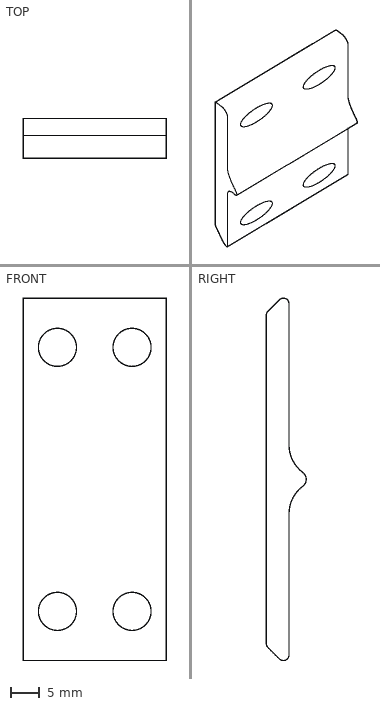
import cadquery as cq
import math

width = 25.0
thickness = 4.0
half_length_sharp = 33.0
edge_radius = 1.0

ridge_height = 3.0
crest_radius = 1.5
flank_radius = 6.0

hole_diameter = 6.6
hole_spacing_x = 13.0
hole_spacing_z = 46.0

front_half_length = half_length_sharp - thickness


def make_plate():
    """Trapezoidal plate with 45 degree bevelled ends and all four long edges rounded."""
    plate = (
        cq.Workplane("YZ")
        .moveTo(0, -front_half_length)
        .lineTo(0, front_half_length)
        .lineTo(thickness, half_length_sharp)
        .lineTo(thickness, -half_length_sharp)
        .close()
        .extrude(width / 2, both=True)
    )
    return plate.edges("|X").fillet(edge_radius)


def make_ridge():
    """Ridge with a convex crest arc tangent to a concave flank arc on each side."""
    crest_y = thickness + ridge_height
    radius_sum = crest_radius + flank_radius
    sweep = math.acos(1 - ridge_height / radius_sum)

    foot_z = radius_sum * math.sin(sweep)
    joint_y = crest_y - crest_radius * (1 - math.cos(sweep))
    joint_z = crest_radius * math.sin(sweep)
    flank_mid_y = thickness + flank_radius * (1 - math.cos(sweep / 2))
    flank_mid_z = foot_z - flank_radius * math.sin(sweep / 2)

    return (
        cq.Workplane("YZ")
        .moveTo(0, -foot_z)
        .lineTo(thickness, -foot_z)
        .threePointArc((flank_mid_y, -flank_mid_z), (joint_y, -joint_z))
        .threePointArc((crest_y, 0), (joint_y, joint_z))
        .threePointArc((flank_mid_y, flank_mid_z), (thickness, foot_z))
        .lineTo(0, foot_z)
        .close()
        .extrude(width / 2, both=True)
    )


def make_holes():
    """Four through holes along Y on a rectangular pattern."""
    return (
        cq.Workplane("XZ")
        .rarray(hole_spacing_x, hole_spacing_z, 2, 2)
        .circle(hole_diameter / 2)
        .extrude(-thickness)
    )


result = make_plate().union(make_ridge()).cut(make_holes())